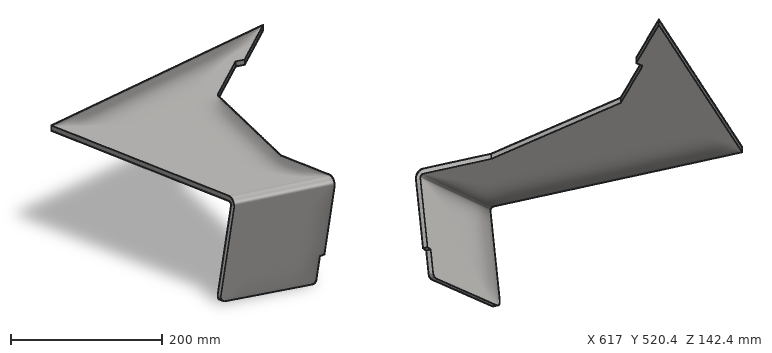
import cadquery as cq
import math

thickness = 7.5
inner_bend_radius = 5.0
outer_bend_radius = inner_bend_radius + thickness
length = 617.0
bend_start_x = length - outer_bend_radius
bend_end_z = -outer_bend_radius

bend_width = 165.0
tip_y = 498.5
front_corner_x = 207.0
rear_corner_x = 496.0
knee_x = 224.0
knee_y = 260.0
notch_x = 114.0
notch_length = 15.0
notch_front_y = knee_y + knee_x - notch_x
notch_rear_y = notch_front_y + notch_length

flange_bottom_z = -142.5
flange_front_bottom_z = -140.0
lean_angle = 10.4
lean = math.tan(math.radians(lean_angle))
step_z = -104.0
step_depth = 7.5
step_drop = step_depth * lean
corner_radius = 7.5


def leaning_y(top_y, z):
    """Y at height z on a leaning edge that leaves the bend at top_y."""
    return top_y - (bend_end_z - z) * lean


def make_plate():
    outline = [
        (0, tip_y),
        (front_corner_x, 0),
        (bend_start_x, 0),
        (bend_start_x, bend_width),
        (rear_corner_x, bend_width),
        (knee_x, knee_y),
        (notch_x, notch_front_y),
        (notch_x, notch_rear_y),
    ]
    return cq.Workplane("XY").polyline(outline).close().extrude(-thickness)


def make_bend():
    diagonal = math.sqrt(0.5)
    outer_mid = outer_bend_radius * diagonal
    inner_mid = inner_bend_radius * diagonal
    return (
        cq.Workplane("XZ")
        .moveTo(bend_start_x, 0)
        .threePointArc((bend_start_x + outer_mid, bend_end_z + outer_mid), (length, bend_end_z))
        .lineTo(length - thickness, bend_end_z)
        .threePointArc((bend_start_x + inner_mid, bend_end_z + inner_mid), (bend_start_x, -thickness))
        .close()
        .extrude(-bend_width)
    )


def make_flange():
    step_y = leaning_y(bend_width, step_z)
    step_bottom_z = step_z - step_drop
    inset_y = step_y - step_depth
    front_bottom = (leaning_y(0, flange_front_bottom_z), flange_front_bottom_z)
    rear_bottom = (inset_y - (step_bottom_z - flange_bottom_z) * lean, flange_bottom_z)
    outline = [
        (0, bend_end_z),
        front_bottom,
        rear_bottom,
        (inset_y, step_bottom_z),
        (step_y, step_z),
        (bend_width, bend_end_z),
    ]
    flange = (
        cq.Workplane("YZ", origin=(length - thickness, 0, 0))
        .polyline(outline)
        .close()
        .extrude(thickness)
    )
    for y, z in (front_bottom, rear_bottom):
        corner = cq.selectors.NearestToPointSelector((length - thickness / 2, y, z))
        flange = flange.edges("|X").edges(corner).fillet(corner_radius)
    return flange


result = make_plate().union(make_bend()).union(make_flange())